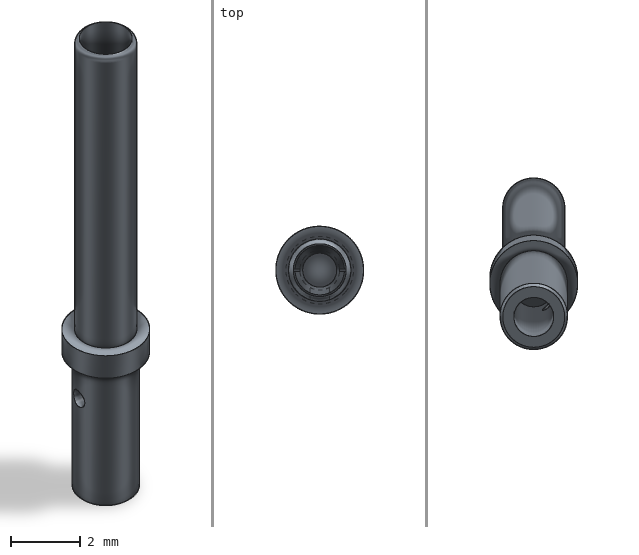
import cadquery as cq
import math

total_length = 16.38
crimp_length = 4.95
flange_thickness = 0.82
flange_top = crimp_length + flange_thickness

crimp_diameter = 1.95
flange_diameter = 2.54
sleeve_diameter = 1.8

foot_chamfer = 0.08

wire_bore_diameter = 1.15
wire_bore_depth = 4.42
inspection_hole_diameter = 0.55
inspection_hole_height = 3.65

mouth_diameter = 1.52
mouth_depth = 6.55
cone_top_diameter = 1.43
socket_floor_diameter = 0.98
ledge_height = total_length - mouth_depth
socket_floor = ledge_height - (cone_top_diameter - socket_floor_diameter) / 2

rim_radius = 0.25
rim_wall = (sleeve_diameter - mouth_diameter) / 2
rim_angle = math.acos(1 - rim_wall / rim_radius)
rim_start = total_length - rim_radius * math.sin(rim_angle)

slot_width = 0.07
slot_inner_diameter = 1.15
slot_floor = ledge_height - (cone_top_diameter - slot_inner_diameter) / 2
slot_depth = ledge_height - slot_floor


def cylinder(diameter, bottom, height):
    """Upright cylinder on the Z axis."""
    return cq.Workplane("XY").workplane(offset=bottom).circle(diameter / 2).extrude(height)


def make_body():
    """Crimp barrel, flange and sleeve turned as one solid about Z."""
    crimp_radius = crimp_diameter / 2
    flange_radius = flange_diameter / 2
    sleeve_radius = sleeve_diameter / 2
    rim_middle = (
        sleeve_radius - rim_radius * (1 - math.cos(rim_angle / 2)),
        rim_start + rim_radius * math.sin(rim_angle / 2),
    )
    profile = (
        cq.Workplane("XZ")
        .lineTo(crimp_radius - foot_chamfer, 0)
        .lineTo(crimp_radius, foot_chamfer)
        .lineTo(crimp_radius, crimp_length)
        .lineTo(flange_radius, crimp_length)
        .lineTo(flange_radius, flange_top)
        .lineTo(sleeve_radius, flange_top)
        .lineTo(sleeve_radius, rim_start)
        .threePointArc(rim_middle, (mouth_diameter / 2, total_length))
        .lineTo(0, total_length)
        .close()
    )
    return profile.revolve()


def make_socket():
    """Void of the mating socket: mouth cylinder above the cone."""
    mouth_radius = mouth_diameter / 2
    profile = (
        cq.Workplane("XZ")
        .moveTo(0, socket_floor)
        .lineTo(socket_floor_diameter / 2, socket_floor)
        .lineTo(cone_top_diameter / 2, ledge_height)
        .lineTo(mouth_radius, ledge_height)
        .lineTo(mouth_radius, total_length)
        .lineTo(0, total_length)
        .close()
    )
    return profile.revolve()


def make_slots():
    """Both slots as one bar across the socket, trimmed to the mouth diameter."""
    bar = cq.Workplane("XY").workplane(offset=slot_floor).rect(sleeve_diameter, slot_width)
    return bar.extrude(slot_depth).intersect(cylinder(mouth_diameter, slot_floor, slot_depth))


def make_inspection_hole():
    """Round hole from the -Y side into the wire bore."""
    return (
        cq.Workplane("XZ")
        .center(0, inspection_hole_height)
        .circle(inspection_hole_diameter / 2)
        .extrude(crimp_diameter)
    )


wire_bore = cylinder(wire_bore_diameter, 0, wire_bore_depth)

result = make_body()
for void in (make_socket(), make_slots(), wire_bore, make_inspection_hole()):
    result = result.cut(void)